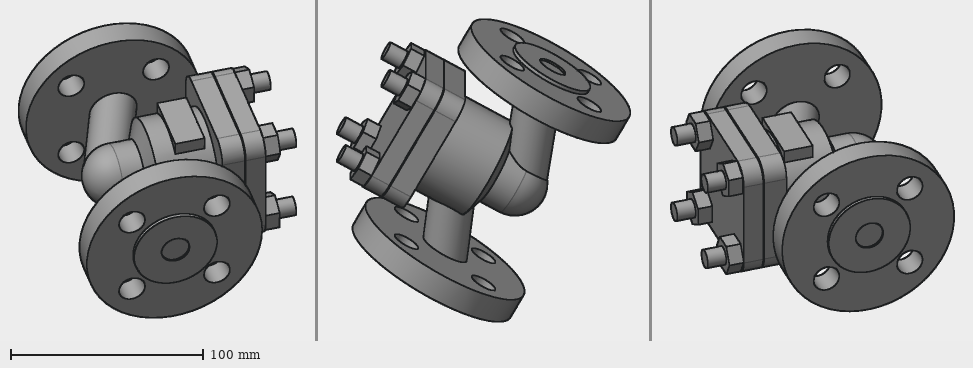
import cadquery as cq
import math


face_to_face = 130.0
flange_diameter = 95.0
flange_thickness = 13.9
raised_face_diameter = 45.0
raised_face_height = 2.1
port_diameter = 15.1
port_depth = 1.0
bolt_circle_diameter = 65.0
bolt_hole_diameter = 14.0
bolt_hole_count = 4
flange_outer_x = face_to_face / 2 - raised_face_height
flange_inner_x = flange_outer_x - flange_thickness

chamber_diameter = 55.1
neck_diameter = 34.0
chamber_top_y = 34.6
chamber_bottom_y = 2.7
cone_bottom_y = -1.8
dome_centre_y = -14.0

pipe_diameter = 24.0
inlet_angle = 20.5
outlet_angle = 22.3
inlet_start_x = -49.8
outlet_start_x = flange_inner_x
pipe_overlap = 5.2

plate_side = 67.2
plate_corner_radius = 10.0
lower_plate_thickness = 12.4
gasket_thickness = 0.4
gasket_side = 65.9
upper_plate_thickness = 10.8
bonnet_top_y = chamber_top_y + lower_plate_thickness + gasket_thickness + upper_plate_thickness

fastener_count = 4
nut_offset = plate_side / 2 - plate_corner_radius
nut_corner_diameter = 19.9
nut_height = 7.9
stud_offset = 23.5
stud_diameter = 10.0
stud_top_y = 76.2

pad_length = 33.4
pad_bottom_y = 14.0
pad_top_y = 29.9
pad_face_z = 29.0


def plane_along_y(y):
    """Plane at height y facing +Y, with its local axes along +X and -Z."""
    return cq.Plane(origin=(0, y, 0), xDir=(1, 0, 0), normal=(0, 1, 0))


def make_flange(side):
    """End flange with its raised face; side is -1 for the inlet and +1 for the outlet."""
    inner_plane = cq.Plane(origin=(side * flange_inner_x, 0, 0), xDir=(0, 1, 0), normal=(side, 0, 0))
    flange = cq.Workplane(inner_plane).circle(flange_diameter / 2).extrude(flange_thickness)
    raised_face = (
        cq.Workplane(inner_plane)
        .workplane(offset=flange_thickness)
        .circle(raised_face_diameter / 2)
        .extrude(raised_face_height)
    )
    port = (
        cq.Workplane(inner_plane)
        .workplane(offset=flange_thickness + raised_face_height)
        .circle(port_diameter / 2)
        .extrude(-port_depth)
    )
    bolt_holes = (
        cq.Workplane(inner_plane)
        .polarArray(bolt_circle_diameter / 2, 180 / bolt_hole_count, 360, bolt_hole_count)
        .circle(bolt_hole_diameter / 2)
        .extrude(flange_thickness)
    )
    return flange.union(raised_face).cut(port).cut(bolt_holes)


def make_body():
    """Cylindrical chamber tapering to a neck that ends in a hemispherical dome."""
    chamber_radius = chamber_diameter / 2
    neck_radius = neck_diameter / 2
    dome_mid = neck_radius * math.sqrt(0.5)
    return (
        cq.Workplane("XY")
        .moveTo(0, chamber_top_y)
        .lineTo(chamber_radius, chamber_top_y)
        .lineTo(chamber_radius, chamber_bottom_y)
        .lineTo(neck_radius, cone_bottom_y)
        .lineTo(neck_radius, dome_centre_y)
        .threePointArc((dome_mid, dome_centre_y - dome_mid), (0, dome_centre_y - neck_radius))
        .close()
        .revolve(360, (0, 0, 0), (0, 1, 0))
    )


def make_pipe(start_x, angle, side):
    """Pipe whose axis crosses the line axis at start_x and slopes to reach the body axis at x = 0."""
    slope = math.radians(angle)
    direction = cq.Vector(-side * math.cos(slope), side * math.sin(slope), 0)
    start = cq.Vector(start_x, 0, 0) - direction * pipe_overlap
    length = abs(start_x) / math.cos(slope) + pipe_overlap
    return cq.Workplane(cq.Solid.makeCylinder(pipe_diameter / 2, length, start, direction))


def make_plate(bottom_y, side_length, thickness):
    """Square bonnet layer with rounded corners."""
    return (
        cq.Workplane(plane_along_y(bottom_y))
        .rect(side_length, side_length)
        .extrude(thickness)
        .edges("|Y")
        .fillet(plate_corner_radius - (plate_side - side_length) / 2)
    )


def make_bonnet():
    """Lower plate, gasket and upper plate stacked on top of the chamber."""
    gasket_y = chamber_top_y + lower_plate_thickness
    upper_plate_y = gasket_y + gasket_thickness
    lower_plate = make_plate(chamber_top_y, plate_side, lower_plate_thickness)
    gasket = make_plate(gasket_y, gasket_side, gasket_thickness)
    upper_plate = make_plate(upper_plate_y, plate_side, upper_plate_thickness)
    return lower_plate.union(gasket).union(upper_plate)


def make_fastener():
    """Stud and nut in the +X, +Z corner, with two nut corners lying along X."""
    nut = (
        cq.Workplane(plane_along_y(bonnet_top_y))
        .center(nut_offset, -nut_offset)
        .polygon(6, nut_corner_diameter)
        .extrude(nut_height)
    )
    stud = (
        cq.Workplane(plane_along_y(bonnet_top_y))
        .center(stud_offset, -stud_offset)
        .circle(stud_diameter / 2)
        .extrude(stud_top_y - bonnet_top_y)
    )
    return nut.union(stud)


def make_nameplate_pad():
    """Rectangular pad from the body axis out to its flat face on the +Z side."""
    return (
        cq.Workplane("XY")
        .center(0, (pad_bottom_y + pad_top_y) / 2)
        .rect(pad_length, pad_top_y - pad_bottom_y)
        .extrude(pad_face_z)
    )


result = make_body().union(make_bonnet()).union(make_nameplate_pad())

result = result.union(make_pipe(inlet_start_x, inlet_angle, -1))
result = result.union(make_pipe(outlet_start_x, outlet_angle, 1))

for flange_side in (-1, 1):
    result = result.union(make_flange(flange_side))

fastener = make_fastener()
for position in range(fastener_count):
    result = result.union(fastener.rotate((0, 0, 0), (0, 1, 0), position * 360 / fastener_count))